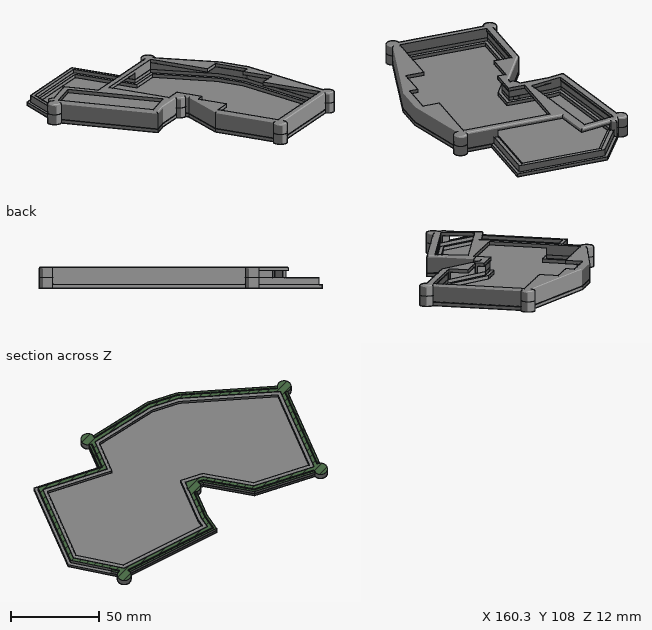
import cadquery as cq
import math

KEY_PITCH_X = 18.0
KEY_PITCH_Y = 17.0
ROWS = 3
COLUMN_SHIFTS = [0.0, 0.0, 10.0, 5.0, -6.0, -6.0]
KEY_MARGIN = 1.0
THUMB_KEYS = 3
THUMB_ANGLE = math.radians(10.0)

FLOOR_TOP = 2.0
SEAM_GAP = 0.25
LEDGE_TOP = 4.0
SPLIT_Z = 6.0
CAP_BOTTOM = 10.0
TOTAL_HEIGHT = 12.0

SKIRT = 1.5
LIP_OUTER = SKIRT + 0.25
LIP_INNER = 4.0
LEDGE_INNER = 6.0

POST_RADIUS = 4.0
EDGE_ROUND = 1.0

BORDER_X = KEY_MARGIN + LIP_INNER
BORDER_Y = 5.45
LEFT_X = -BORDER_X
RIGHT_X = len(COLUMN_SHIFTS) * KEY_PITCH_X + BORDER_X
TOP_Y = ROWS * KEY_PITCH_Y + max(COLUMN_SHIFTS) + BORDER_Y
BOTTOM_Y = min(COLUMN_SHIFTS) - BORDER_Y
TOP_LEFT_X = 2 * KEY_PITCH_X
TOP_RIGHT_X = 3 * KEY_PITCH_X
LEFT_SHOULDER_Y = 54.9
RIGHT_SHOULDER_Y = 49.4
NECK_X = 41.1
NOTCH_X = 46.7
NOTCH_Y = max(COLUMN_SHIFTS) - BORDER_Y
NOTCH_END_X = 71.5

THUMB_X = 42.88
THUMB_Y = -26.94
THUMB_WIDTH = THUMB_KEYS * KEY_PITCH_X + 2 * BORDER_X
THUMB_HEIGHT = KEY_PITCH_Y + 2 * BORDER_Y

TRAY_X = -44.0
TRAY_TOP = 36.33
TRAY_BOTTOM = -18.7
TRAY_SLOPE = -0.683
TAB_X = -23.5

POST_CENTERS = [(-4.25, 54.95), (112.29, 48.9), (112.0, -10.2), (40.75, 4.1), (-17.2, -37.56)]


def thumb_point(along, up):
    """Point measured along and up the tilted thumb cluster from its lower right corner."""
    return (
        THUMB_X + along * math.cos(THUMB_ANGLE) - up * math.sin(THUMB_ANGLE),
        THUMB_Y + along * math.sin(THUMB_ANGLE) + up * math.cos(THUMB_ANGLE),
    )


def meet(point_a, slope_a, point_b, slope_b):
    """Crossing of two lines, each given by a point and a slope."""
    x = (point_b[1] - slope_b * point_b[0] - point_a[1] + slope_a * point_a[0]) / (slope_a - slope_b)
    return (x, point_a[1] + slope_a * (x - point_a[0]))


def inset_points(points, inset):
    """Corners of a counterclockwise outline moved inward by the inset, kept sharp."""
    moved = []
    for i, (x, y) in enumerate(points):
        before_x, before_y = points[i - 1]
        after_x, after_y = points[(i + 1) % len(points)]
        heading = math.atan2(y - before_y, x - before_x)
        next_heading = math.atan2(after_y - y, after_x - x)
        half_turn = math.remainder(next_heading - heading, 2 * math.pi) / 2
        bisector = heading + half_turn + math.pi / 2
        reach = inset / math.cos(half_turn)
        moved.append((x + reach * math.cos(bisector), y + reach * math.sin(bisector)))
    return moved


def prism(points, z_low, z_high):
    return cq.Workplane("XY").workplane(offset=z_low).polyline(points).close().extrude(z_high - z_low)


def post(center, z_low, z_high):
    return cq.Workplane("XY", origin=(*center, z_low)).circle(POST_RADIUS).extrude(z_high - z_low)


thumb_slope = math.tan(THUMB_ANGLE)
thumb_side_slope = -1 / thumb_slope
thumb_right = (THUMB_X, THUMB_Y)
thumb_left = thumb_point(-THUMB_WIDTH, 0)
thumb_top_left = thumb_point(-THUMB_WIDTH, THUMB_HEIGHT)
tray_corner = (TRAY_X, TRAY_BOTTOM)
heel = meet(tray_corner, TRAY_SLOPE, thumb_right, thumb_slope)
tab = (TAB_X, TRAY_BOTTOM + TRAY_SLOPE * (TAB_X - TRAY_X))
tab_root = meet(tab, -1 / TRAY_SLOPE, thumb_left, thumb_side_slope)

rim = [
    thumb_right,
    (NECK_X, THUMB_Y + thumb_side_slope * (NECK_X - THUMB_X)),
    (NECK_X, NOTCH_Y),
    (NOTCH_X, NOTCH_Y),
    (NOTCH_END_X, BOTTOM_Y),
    (RIGHT_X, BOTTOM_Y),
    (RIGHT_X, RIGHT_SHOULDER_Y),
    (TOP_RIGHT_X, TOP_Y),
    (TOP_LEFT_X, TOP_Y),
    (LEFT_X, LEFT_SHOULDER_Y),
]
cover_outline = rim + [
    (LEFT_X, thumb_top_left[1] + thumb_slope * (LEFT_X - thumb_top_left[0])),
    thumb_top_left,
    tab_root,
    tab,
    heel,
]
base_outline = rim + [(LEFT_X, TRAY_TOP), (TRAY_X, TRAY_TOP), tray_corner, heel]


def base_prism(inset, z_low, z_high):
    return prism(inset_points(base_outline, inset), z_low, z_high)


def make_base():
    """Floor with a raised lip, a ledge inside the lip and the lower halves of the posts."""
    base = base_prism(0, 0, FLOOR_TOP)
    base = base.union(base_prism(LIP_OUTER, FLOOR_TOP, SPLIT_Z))
    base = base.cut(base_prism(LIP_INNER, LEDGE_TOP, SPLIT_Z))
    base = base.cut(base_prism(LEDGE_INNER, FLOOR_TOP, SPLIT_Z))
    for center in POST_CENTERS:
        base = base.union(post(center, 0, SPLIT_Z))
    return base


def column_opening(column, shift):
    left = column * KEY_PITCH_X - KEY_MARGIN
    right = (column + 1) * KEY_PITCH_X + KEY_MARGIN
    low = shift - KEY_MARGIN
    high = shift + ROWS * KEY_PITCH_Y + KEY_MARGIN
    return prism([(left, low), (right, low), (right, high), (left, high)], 0, TOTAL_HEIGHT)


def thumb_opening():
    side = BORDER_X - KEY_MARGIN
    end = BORDER_Y - KEY_MARGIN
    corners = [
        thumb_point(side - THUMB_WIDTH, end),
        thumb_point(-side, end),
        thumb_point(-side, THUMB_HEIGHT - end),
        thumb_point(side - THUMB_WIDTH, THUMB_HEIGHT - end),
    ]
    return prism(corners, 0, TOTAL_HEIGHT)


def make_cover():
    """Rounded cover with key openings, hollowed to sit over the lip of the base."""
    cover = prism(cover_outline, FLOOR_TOP + SEAM_GAP, TOTAL_HEIGHT)
    for center in POST_CENTERS:
        cover = cover.cut(post(center, 0, SPLIT_Z))
        cover = cover.union(post(center, SPLIT_Z, TOTAL_HEIGHT))
    cover = cover.clean().faces(">Z").edges().fillet(EDGE_ROUND)
    cover = cover.cut(base_prism(SKIRT, 0, SPLIT_Z))
    cover = cover.cut(base_prism(LIP_INNER, 0, CAP_BOTTOM))
    for column, shift in enumerate(COLUMN_SHIFTS):
        cover = cover.cut(column_opening(column, shift))
    return cover.cut(thumb_opening())


base = make_base()
cover = make_cover()

result = cq.Compound.makeCompound([*base.solids().vals(), *cover.solids().vals()])